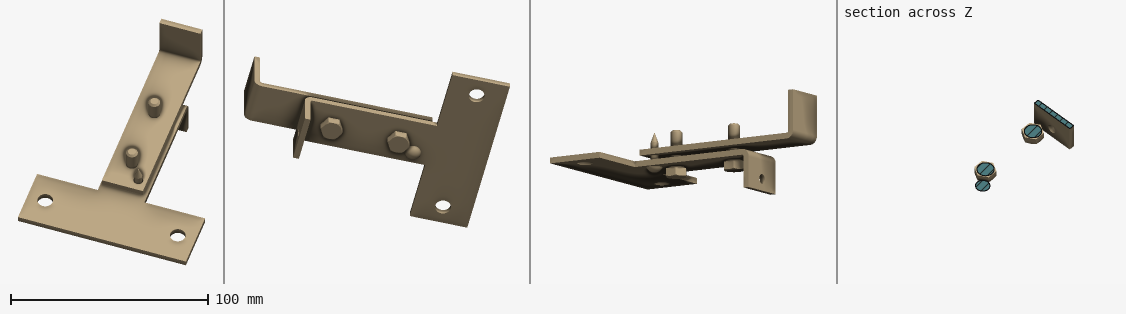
import cadquery as cq
import math

THICKNESS = 3.0
BEND_INNER_RADIUS = 1.0
BEND_OUTER_RADIUS = BEND_INNER_RADIUS + THICKNESS

CROSS_LENGTH = 90.0
CROSS_DEPTH = 30.0
TONGUE_WIDTH = 25.0
TONGUE_END_Y = 99.0
LOWER_TOP_Z = 20.0
LOWER_BOTTOM_Z = LOWER_TOP_Z - THICKNESS
LOWER_LEG_BOTTOM_Z = 0.0
MOUNT_HOLE_DIAMETER = 8.0
MOUNT_HOLE_SPACING = 71.0
LEG_HOLE_DIAMETER = 5.0
LEG_HOLE_Z = 6.0

UPPER_WIDTH = 22.0
UPPER_START_Y = 32.0
UPPER_END_Y = 125.0
BRACKET_GAP = 3.0
UPPER_BOTTOM_Z = LOWER_TOP_Z + BRACKET_GAP
UPPER_LEG_TOP_Z = 48.0

BOLT_DIAMETER = 6.0
BOLT_YS = (47.0, 82.0)
BOLT_TIP_Z = 36.0
BOLT_TIP_CHAMFER = 1.0
HEX_ACROSS_FLATS = 10.0
HEX_ACROSS_CORNERS = HEX_ACROSS_FLATS / math.cos(math.pi / 6)
HEX_BOTTOM_Z = 12.0
COLLAR_DIAMETER = 9.0
COLLAR_HEIGHT = 0.8
HEX_BEVEL_ANGLE = math.radians(30)

SCREW_X = 6.5
SCREW_Y = 38.0
SCREW_DIAMETER = 4.0
SCREW_CLEARANCE_DIAMETER = 5.0
SCREW_SHOULDER_Z = 29.6
SCREW_TIP_Z = 35.0
SCREW_HEAD_DIAMETER = 8.4
SCREW_HEAD_HEIGHT = 2.7


def bent_strip(width, start_y, end_y, inner_z, leg_end_z):
    """L-shaped strip: flat face inner_z lies inside the bend, leg ends at leg_end_z."""
    leg_side = math.copysign(1.0, leg_end_z - inner_z)
    outer_z = inner_z - leg_side * THICKNESS
    inner_y = end_y - THICKNESS
    bend_y = end_y - BEND_OUTER_RADIUS
    bend_z = inner_z + leg_side * BEND_INNER_RADIUS
    diagonal = math.sqrt(0.5)

    def bend_middle(radius):
        return (bend_y + radius * diagonal, bend_z - leg_side * radius * diagonal)

    profile = (
        cq.Workplane("YZ")
        .moveTo(start_y, outer_z)
        .lineTo(bend_y, outer_z)
        .threePointArc(bend_middle(BEND_OUTER_RADIUS), (end_y, bend_z))
        .lineTo(end_y, leg_end_z)
        .lineTo(inner_y, leg_end_z)
        .lineTo(inner_y, bend_z)
        .threePointArc(bend_middle(BEND_INNER_RADIUS), (bend_y, inner_z))
        .lineTo(start_y, inner_z)
        .close()
    )
    return profile.extrude(width / 2, both=True)


def lower_bracket():
    tongue = bent_strip(TONGUE_WIDTH, 0.0, TONGUE_END_Y, LOWER_BOTTOM_Z, LOWER_LEG_BOTTOM_Z)
    cross = (
        cq.Workplane("XY", origin=(0, CROSS_DEPTH / 2, LOWER_BOTTOM_Z))
        .rect(CROSS_LENGTH, CROSS_DEPTH)
        .extrude(THICKNESS)
    )
    mount_holes = (
        cq.Workplane("XY", origin=(0, CROSS_DEPTH / 2, LOWER_BOTTOM_Z))
        .pushPoints([(-MOUNT_HOLE_SPACING / 2, 0), (MOUNT_HOLE_SPACING / 2, 0)])
        .circle(MOUNT_HOLE_DIAMETER / 2)
        .extrude(THICKNESS)
    )
    leg_hole = (
        cq.Workplane("XZ", origin=(0, TONGUE_END_Y, LEG_HOLE_Z))
        .circle(LEG_HOLE_DIAMETER / 2)
        .extrude(THICKNESS)
    )
    return tongue.union(cross).cut(mount_holes).cut(leg_hole)


def upper_bracket():
    top_z = UPPER_BOTTOM_Z + THICKNESS
    strip = bent_strip(UPPER_WIDTH, UPPER_START_Y, UPPER_END_Y, top_z, UPPER_LEG_TOP_Z)
    screw_clearance = (
        cq.Workplane("XY", origin=(SCREW_X, SCREW_Y, UPPER_BOTTOM_Z))
        .circle(SCREW_CLEARANCE_DIAMETER / 2)
        .extrude(THICKNESS)
    )
    return strip.cut(screw_clearance)


def hex_bolt(y):
    shank = (
        cq.Workplane("XY", origin=(0, y, HEX_BOTTOM_Z))
        .circle(BOLT_DIAMETER / 2)
        .extrude(BOLT_TIP_Z - HEX_BOTTOM_Z)
        .faces(">Z")
        .chamfer(BOLT_TIP_CHAMFER)
    )
    hex_height = LOWER_BOTTOM_Z - COLLAR_HEIGHT - HEX_BOTTOM_Z
    hexagon = (
        cq.Workplane("XY", origin=(0, y, HEX_BOTTOM_Z))
        .transformed(rotate=(0, 0, 90))
        .polygon(6, HEX_ACROSS_CORNERS)
        .extrude(hex_height)
    )
    flat_radius = HEX_ACROSS_FLATS / 2
    corner_radius = HEX_ACROSS_CORNERS / 2
    bevel_width = corner_radius - flat_radius
    bevel_height = bevel_width * math.tan(HEX_BEVEL_ANGLE)
    bevel = (
        cq.Workplane("XZ", origin=(0, y, HEX_BOTTOM_Z))
        .lineTo(flat_radius, 0)
        .lineTo(corner_radius, bevel_height)
        .lineTo(corner_radius, hex_height)
        .lineTo(0, hex_height)
        .close()
        .revolve(360, (0, 0, 0), (0, 1, 0))
    )
    collar = (
        cq.Workplane("XY", origin=(0, y, LOWER_BOTTOM_Z - COLLAR_HEIGHT))
        .circle(COLLAR_DIAMETER / 2)
        .extrude(COLLAR_HEIGHT)
    )
    return hexagon.intersect(bevel).union(collar).union(shank)


def pointed_screw():
    radius = SCREW_DIAMETER / 2
    head_radius = SCREW_HEAD_DIAMETER / 2
    cap_radius = (head_radius**2 + SCREW_HEAD_HEIGHT**2) / (2 * SCREW_HEAD_HEIGHT)
    mid_angle = math.asin(head_radius / cap_radius) / 2
    cap_bottom_z = LOWER_BOTTOM_Z - SCREW_HEAD_HEIGHT
    cap_middle_z = cap_bottom_z + cap_radius * (1 - math.cos(mid_angle))
    cap_middle = (cap_radius * math.sin(mid_angle), cap_middle_z)
    return (
        cq.Workplane("XZ", origin=(SCREW_X, SCREW_Y, 0))
        .moveTo(0, cap_bottom_z)
        .threePointArc(cap_middle, (head_radius, LOWER_BOTTOM_Z))
        .lineTo(radius, LOWER_BOTTOM_Z)
        .lineTo(radius, SCREW_SHOULDER_Z)
        .lineTo(0, SCREW_TIP_Z)
        .close()
        .revolve(360, (0, 0, 0), (0, 1, 0))
    )


result = lower_bracket().union(upper_bracket())
for bolt_y in BOLT_YS:
    result = result.union(hex_bolt(bolt_y))
result = result.union(pointed_screw())